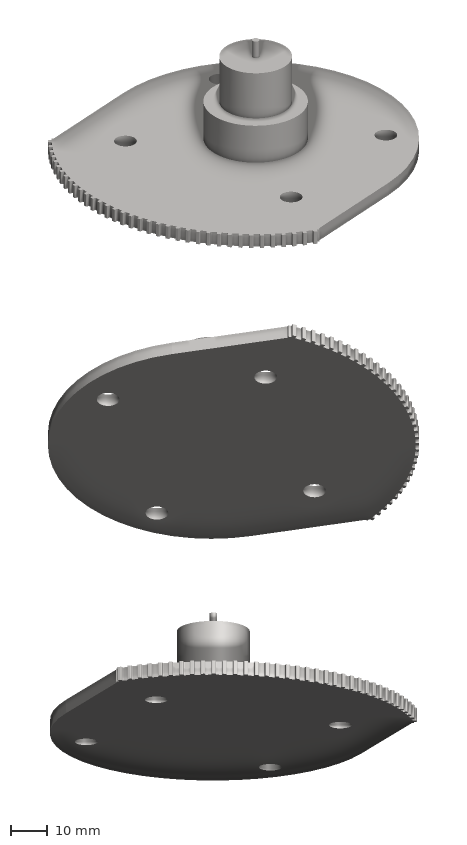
import cadquery as cq
import math

plate_thickness = 3.81
plate_radius = 44.77

belt_pitch = 3.0
full_circle_teeth = 120
sector_teeth = 36
pitch_line_offset = 0.381
tooth_angle = 360 / full_circle_teeth
sector_half_angle = sector_teeth * tooth_angle / 2
tip_radius = full_circle_teeth * belt_pitch / (2 * math.pi) - pitch_line_offset

groove_depth = 1.0
groove_half_width = 0.9
groove_lip_radius = 0.22
groove_floor_radius = 0.2
groove_mouth_half_width = groove_half_width + groove_lip_radius
groove_overcut = 0.5

hole_diameter = 6.23
hole_spacing_x = 55.88
hole_spacing_y = 44.45

hub_diameter = 28.66
hub_height = 11.43
neck_diameter = 19.96
neck_height = 13.97
pin_diameter = 2.1
total_height = 34.29
pin_height = total_height - plate_thickness - hub_height - neck_height


def make_base_plate():
    """Half disc with straight flanks reaching down to the edges of the toothed sector."""
    flank_end_y = -plate_radius / math.tan(math.radians(sector_half_angle))
    return (
        cq.Workplane("XY")
        .moveTo(0, 0)
        .lineTo(plate_radius, flank_end_y)
        .lineTo(plate_radius, 0)
        .threePointArc((0, plate_radius), (-plate_radius, 0))
        .lineTo(-plate_radius, flank_end_y)
        .close()
        .extrude(plate_thickness)
    )


def make_sector():
    """Pie slice with its rim at the tooth tips, symmetric about the -Y direction."""
    edge_x = tip_radius * math.sin(math.radians(sector_half_angle))
    edge_y = -tip_radius * math.cos(math.radians(sector_half_angle))
    return (
        cq.Workplane("XY")
        .moveTo(0, 0)
        .lineTo(-edge_x, edge_y)
        .threePointArc((0, -tip_radius), (edge_x, edge_y))
        .close()
        .extrude(plate_thickness)
    )


def make_groove():
    """Cutter for the belt groove that points in the -Y direction."""
    mouth_y = -tip_radius * math.cos(math.asin(groove_mouth_half_width / tip_radius))
    lip_y = mouth_y + groove_lip_radius
    floor_y = -tip_radius + groove_depth
    outer_y = -tip_radius - groove_overcut
    slot = (
        cq.Workplane("XY")
        .moveTo(-groove_half_width, outer_y)
        .lineTo(-groove_half_width, floor_y)
        .lineTo(groove_half_width, floor_y)
        .lineTo(groove_half_width, outer_y)
        .close()
        .extrude(plate_thickness)
        .edges("|Z and >Y")
        .fillet(groove_floor_radius)
    )
    lip_arc_offset = groove_lip_radius * math.sqrt(0.5)
    lip_mid_x = groove_mouth_half_width - lip_arc_offset
    lip_mid_y = lip_y - lip_arc_offset
    mouth = (
        cq.Workplane("XY")
        .moveTo(-groove_mouth_half_width, outer_y)
        .lineTo(-groove_mouth_half_width, mouth_y)
        .threePointArc((-lip_mid_x, lip_mid_y), (-groove_half_width, lip_y))
        .lineTo(groove_half_width, lip_y)
        .threePointArc((lip_mid_x, lip_mid_y), (groove_mouth_half_width, mouth_y))
        .lineTo(groove_mouth_half_width, outer_y)
        .close()
        .extrude(plate_thickness)
    )
    return slot.union(mouth)


def cut_grooves(sector):
    """Cut a groove at every tooth step, including half grooves at both sector edges."""
    groove = make_groove().val()
    cutters = []
    for step in range(sector_teeth + 1):
        angle = step * tooth_angle - sector_half_angle
        cutters.append(groove.rotate((0, 0, 0), (0, 0, 1), angle))
    return sector.cut(cq.Compound.makeCompound(cutters))


def drill_mounting_holes(plate):
    """Drill the four through holes."""
    return (
        plate.faces(">Z")
        .workplane(origin=(0, 0, plate_thickness))
        .rect(hole_spacing_x, hole_spacing_y, forConstruction=True)
        .vertices()
        .hole(hole_diameter)
    )


def add_hub(plate):
    """Stack the hub, neck and pin on top of the plate."""
    part = plate
    bottom = plate_thickness
    steps = [(hub_diameter, hub_height), (neck_diameter, neck_height), (pin_diameter, pin_height)]
    for diameter, height in steps:
        part = part.union(cq.Workplane("XY", origin=(0, 0, bottom)).circle(diameter / 2).extrude(height))
        bottom += height
    return part


toothed_sector = cut_grooves(make_sector())
drilled_plate = drill_mounting_holes(make_base_plate().union(toothed_sector))
result = add_hub(drilled_plate)